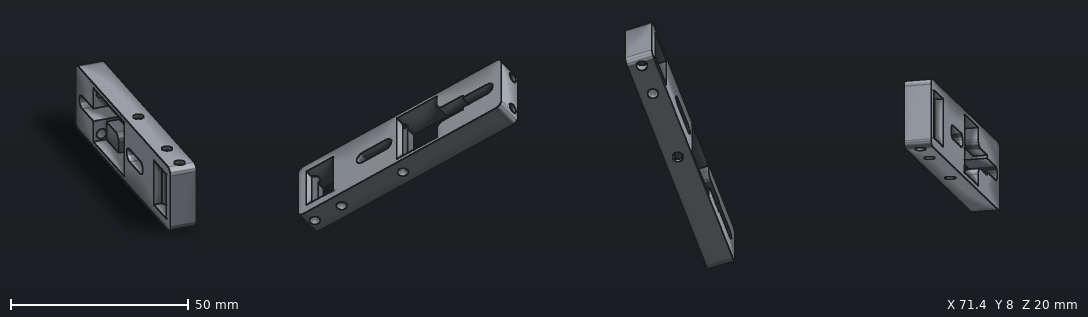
import cadquery as cq

length = 71.4
thickness = 8.0
height = 20
front_y = -thickness / 2
corner_radius = 2.0

pocket_left = 13.55
pocket_right = 36.6
pocket_height = 17.0
tab_right = 22.6
tab_gap = 5.8
tab_corner_radius = 2.2
tab_recess = 4.0

slot_height = 4.0
end_slot_left = 3.0
middle_slot_left = 38.55
middle_slot_right = 50.7

window_left = 58.95
window_right = 68.4
window_height = 14.0

hole_diameter = 3.0
cross_hole_positions = (37.5, window_left, window_right)
end_hole_spacing = 12.85
end_hole_y = -hole_diameter / 2


def block(left, right, z_size, y_start, y_size):
    """Box centred on Z that starts at y_start and runs toward +Y."""
    box = cq.Workplane("XY").box(right - left, y_size, z_size, centered=(False, False, True))
    return box.translate((left, y_start, 0))


def through_slot(left, right):
    """Round-ended slot along X that passes through the whole thickness."""
    return (
        cq.Workplane("XZ")
        .center((left + right) / 2, 0)
        .slot2D(right - left, slot_height)
        .extrude(thickness / 2, both=True)
    )


def pocket():
    """Through pocket less the two recessed tabs at its left end."""
    opening = block(pocket_left, pocket_right, pocket_height, front_y, thickness)
    tab_height = (pocket_height - tab_gap) / 2
    tab_z = (tab_gap + tab_height) / 2
    for side in (1, -1):
        tab = block(pocket_left, tab_right, tab_height, front_y + tab_recess, thickness - tab_recess)
        inner_edge = "<Z" if side > 0 else ">Z"
        tab = tab.edges(">X and " + inner_edge).fillet(tab_corner_radius)
        opening = opening.cut(tab.translate((0, 0, side * tab_z)))
    return opening


def cross_holes():
    """Holes along Z through the full height."""
    points = [(x, 0) for x in cross_hole_positions]
    return (
        cq.Workplane("XY")
        .pushPoints(points)
        .circle(hole_diameter / 2)
        .extrude(height / 2, both=True)
    )


def end_holes():
    """Holes along X from the left end into the pocket."""
    points = [(end_hole_y, side * end_hole_spacing / 2) for side in (1, -1)]
    return cq.Workplane("YZ").pushPoints(points).circle(hole_diameter / 2).extrude(pocket_left)


bar = block(0, length, height, front_y, thickness)
bar = bar.edges("|Y").fillet(corner_radius)

result = (
    bar.cut(pocket())
    .cut(through_slot(end_slot_left, pocket_left + slot_height))
    .cut(through_slot(middle_slot_left, middle_slot_right))
    .cut(block(window_left, window_right, window_height, front_y, thickness))
    .cut(cross_holes())
    .cut(end_holes())
)